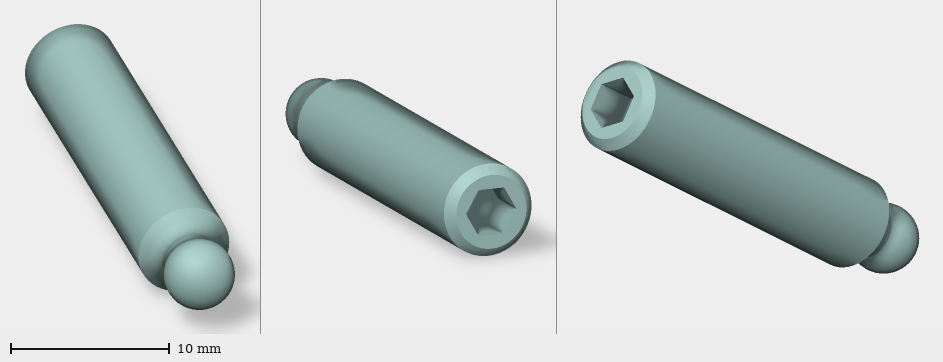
import cadquery as cq
import math

total_length = 30.0
body_diameter = 6.0
neck_diameter = 3.5
ball_diameter = 4.5

end_chamfer = 0.6
hex_across_flats = 3.0
hex_depth = 3.0
hex_sides = 6

shoulder_start = 24.5
shoulder_length = 1.2

body_radius = body_diameter / 2
neck_radius = neck_diameter / 2
ball_radius = ball_diameter / 2
ball_center = total_length - ball_radius
shoulder_end = shoulder_start + shoulder_length
neck_end = ball_center - math.sqrt(ball_radius**2 - neck_radius**2)


def make_pin():
    """Revolve the half profile of body, shoulder, neck and ball about X."""
    profile = (
        cq.Workplane("XY")
        .moveTo(0, 0)
        .lineTo(0, body_radius - end_chamfer)
        .lineTo(end_chamfer, body_radius)
        .lineTo(shoulder_start, body_radius)
        .lineTo(shoulder_end, neck_radius)
        .lineTo(neck_end, neck_radius)
        .threePointArc((ball_center, ball_radius), (total_length, 0))
        .close()
    )
    return profile.revolve(360, (0, 0, 0), (1, 0, 0))


def make_hex_socket():
    """Hexagonal prism with corners on Y and flats facing +Z and -Z."""
    across_corners = hex_across_flats / math.cos(math.pi / hex_sides)
    return cq.Workplane("YZ").polygon(hex_sides, across_corners).extrude(hex_depth)


result = make_pin().cut(make_hex_socket())